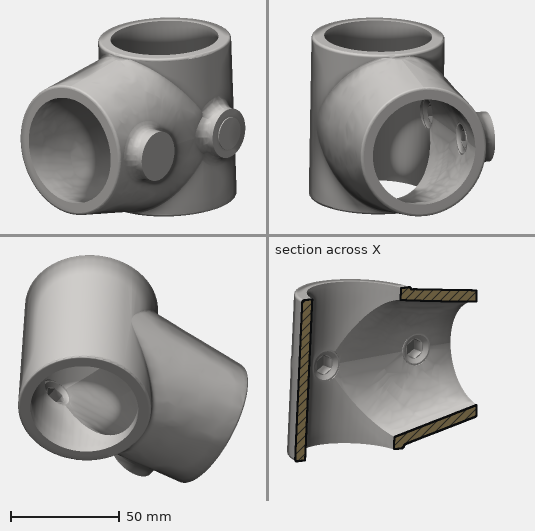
import cadquery as cq

sleeve_radius = 30.8
sleeve_length = 77.0
sleeve_tilt = 3.0
sleeve_y = 69.1
sleeve_z = 0.9
bore_radius = 25.0
rim_radius = 1.2
junction_fillet = 1.0

socket_radius = 30.6
socket_wall = socket_radius - bore_radius
root_half_height = 42.8

boss_radius = 11.6
boss_end_x = 37.2
boss_fillet = 5.1
sleeve_boss_y = 69.6
socket_boss_y = 19.3

screw_radius = 7.6
screw_length = 12.7
cup_rim = 0.8
cup_depth = 1.5
key_across_corners = 9.5
key_depth = 8.1
key_sides = 6
key_turn = 180 / key_sides
sleeve_screw_end_x = 37.7
socket_screw_end_x = 37.2


def along_sleeve(shape):
    """Move a shape centred on the Z axis onto the leaning sleeve axis."""
    leaned = shape.rotate((0, 0, 0), (1, 0, 0), sleeve_tilt)
    return leaned.translate((0, sleeve_y, sleeve_z))


def sleeve_cylinder(radius, length):
    return cq.Workplane("XY").circle(radius).extrude(length / 2, both=True)


def socket_loft(end_radius, root_half_width, root_height):
    """Loft from the round mouth at Y = 0 to an upright ellipse at the sleeve axis."""
    return (
        cq.Workplane("XZ")
        .circle(end_radius)
        .workplane(offset=-sleeve_y)
        .ellipse(root_half_width, root_height)
        .loft(combine=True)
    )


def make_sleeve():
    return along_sleeve(sleeve_cylinder(sleeve_radius, sleeve_length).edges().fillet(rim_radius))


def make_socket():
    band_size = 4 * sleeve_length
    band = along_sleeve(cq.Workplane("XY").box(band_size, band_size, sleeve_length - 2 * rim_radius))
    socket = socket_loft(socket_radius, socket_radius, root_half_height)
    return socket.faces("<Y").edges().fillet(rim_radius).intersect(band)


def x_cylinder(radius, start_x, end_x, y):
    return cq.Workplane("YZ", origin=(start_x, y, 0)).circle(radius).extrude(end_x - start_x)


def add_boss(body, y):
    """Add a boss and blend its root into the wall it stands on."""
    body = body.union(x_cylinder(boss_radius, 0, boss_end_x, y))
    margin = 0.1
    reach = boss_radius + margin
    near_corner = (margin, y - reach, -reach)
    far_corner = (boss_end_x - margin, y + reach, reach)
    root_edges = cq.selectors.BoxSelector(near_corner, far_corner, boundingbox=True)
    return body.edges(root_edges).fillet(boss_fillet)


def sleeve_boss_front_blend():
    """Flare of the sleeve boss onto the flank of the socket, on the -Y side of the boss."""
    length = 2 * (sleeve_boss_y - socket_boss_y)
    flank = cq.Workplane("XZ", origin=(0, socket_boss_y, 0)).circle(socket_radius).extrude(-length)
    keep = cq.Workplane("XY").box(boss_end_x, length / 2, 2 * socket_radius, centered=(False, False, True))
    return add_boss(flank, sleeve_boss_y).intersect(keep.translate((0, socket_boss_y, 0)))


def round_tube_junction(body):
    """Round the long inside corner where the socket runs into the sleeve."""
    corner_edges = [
        edge
        for edge in body.edges().vals()
        if edge.geomType() == "BSPLINE"
        and edge.BoundingBox().ymin > sleeve_y / 2
        and edge.BoundingBox().zlen > socket_radius - rim_radius
    ]
    return body.newObject(corner_edges).fillet(junction_fillet)


def make_housing():
    body = add_boss(make_sleeve(), sleeve_boss_y).union(add_boss(make_socket(), socket_boss_y))
    body = round_tube_junction(body.union(sleeve_boss_front_blend()))
    body = body.cut(along_sleeve(sleeve_cylinder(bore_radius, 2 * sleeve_length)))
    body = body.cut(socket_loft(bore_radius, bore_radius, root_half_height - socket_wall))
    for y in (sleeve_boss_y, socket_boss_y):
        body = body.cut(x_cylinder(screw_radius, 0, boss_end_x, y))
    return body


def make_screw(end_x, y):
    """Set screw with a cup point and a blind hexagonal key hole in it."""
    tip_x = end_x - screw_length
    screw = x_cylinder(screw_radius, tip_x, end_x, y)
    cup = cq.Solid.makeCone(
        screw_radius - cup_rim, key_across_corners / 2, cup_depth, cq.Vector(tip_x, y, 0), cq.Vector(1, 0, 0)
    )
    key = cq.Workplane("YZ", origin=(tip_x, y, 0)).transformed(rotate=(0, 0, key_turn))
    key = key.polygon(key_sides, key_across_corners).extrude(key_depth)
    return screw.cut(key).cut(cq.Workplane(cup))


housing = make_housing()
screws = [
    make_screw(sleeve_screw_end_x, sleeve_boss_y),
    make_screw(socket_screw_end_x, socket_boss_y),
]

result = cq.Compound.makeCompound([housing.val(), *[screw.val() for screw in screws]])